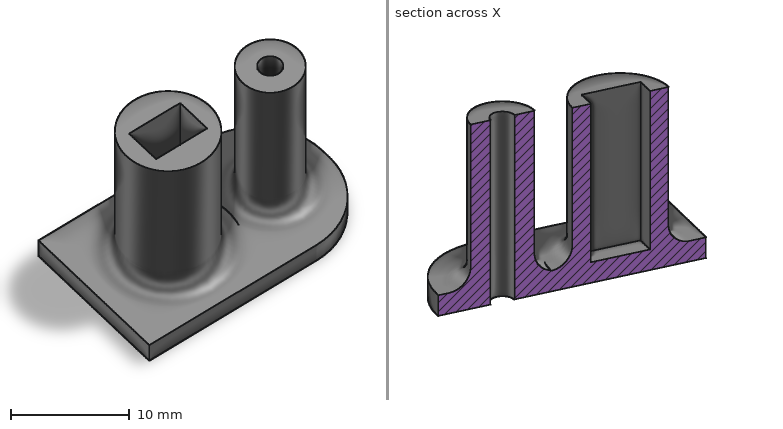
import cadquery as cq
import math

plate_width = 15.0
plate_length = 25.0
plate_thickness = 2.0
back_corner_radius = 7.0

thin_post_diameter = 6.0
thin_post_top = 17.5
thin_post_y = plate_length / 2 - 6.0
thick_post_diameter = 9.0
thick_post_top = 17.0
thick_post_y = plate_length / 2 - 17.0
root_fillet_radius = 2.0

bore_diameter = 2.2
socket_width = 3.65
socket_length = 5.5
socket_depth = thick_post_top - plate_thickness


def make_plate():
    plate = cq.Workplane("XY").box(
        plate_width, plate_length, plate_thickness, centered=(True, True, False)
    )
    return plate.edges("|Z and >Y").fillet(back_corner_radius)


def make_post(y, diameter, top):
    """Round post with a concave flare at its root, turned about its own axis."""
    radius = diameter / 2
    flare_radius = radius + root_fillet_radius
    flare_top = plate_thickness + root_fillet_radius
    arc_offset = root_fillet_radius * math.sqrt(0.5)
    return (
        cq.Workplane("XZ", origin=(0, y, 0))
        .lineTo(flare_radius, 0)
        .lineTo(flare_radius, plate_thickness)
        .threePointArc((flare_radius - arc_offset, flare_top - arc_offset), (radius, flare_top))
        .lineTo(radius, top)
        .lineTo(0, top)
        .close()
        .revolve(360, (0, 0, 0), (0, 1, 0))
    )


bore = (
    cq.Workplane("XY", origin=(0, thin_post_y, 0))
    .circle(bore_diameter / 2)
    .extrude(thin_post_top)
)
socket = (
    cq.Workplane("XY", origin=(0, thick_post_y, thick_post_top))
    .rect(socket_width, socket_length)
    .extrude(-socket_depth)
)

thick_post = make_post(thick_post_y, thick_post_diameter, thick_post_top)
thin_post = make_post(thin_post_y, thin_post_diameter, thin_post_top)

thick_flare_area = (
    cq.Workplane("XY", origin=(0, thick_post_y, 0))
    .circle(thick_post_diameter / 2 + root_fillet_radius)
    .extrude(thin_post_top)
)
thin_post = thin_post.cut(thick_flare_area)

result = make_plate().union(thick_post).union(thin_post).cut(bore).cut(socket)